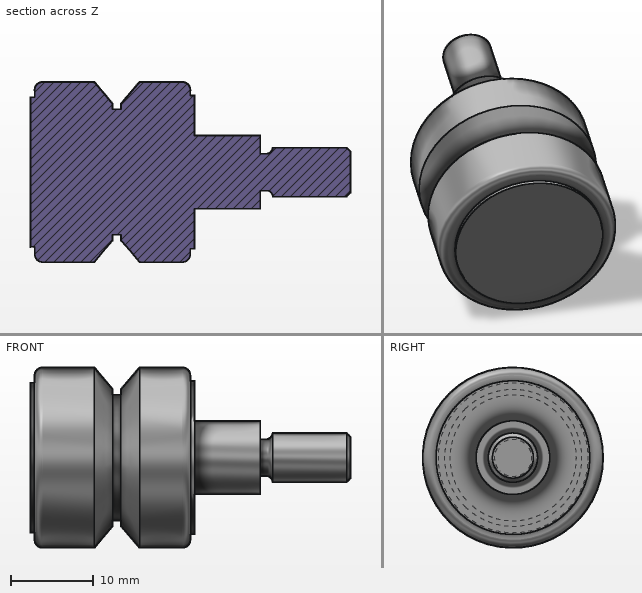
import cadquery as cq
import math

total_length = 39.0
cap_end = 0.5
front_roller_cone_start = 7.8
groove_start = 10.02
groove_end = 11.05
rear_roller_cone_end = 13.3
rear_roller_end = 19.5
collar_end = 20.0
shoulder_end = 28.0
stud_start = 29.5

cap_radius = 9.13
roller_radius = 11.0
groove_lip_radius = 8.35
groove_root_radius = 7.7
collar_radius = 9.35
shoulder_radius = 4.5
neck_radius = 2.25
stud_radius = 3.0

rim_fillet = 1.0
stud_chamfer = 0.5
neck_fillet = stud_radius - neck_radius

rim_flat_radius = roller_radius - rim_fillet
diagonal = math.sqrt(0.5)
rim_mid_radius = rim_flat_radius + rim_fillet * diagonal
front_rim_center = cap_end + rim_fillet
rear_rim_center = rear_roller_end - rim_fillet
fillet_start = stud_start - neck_fillet

half_section = (
    cq.Workplane("XY")
    .moveTo(0, 0)
    .lineTo(0, cap_radius)
    .lineTo(cap_end, cap_radius)
    .lineTo(cap_end, rim_flat_radius)
    .threePointArc(
        (front_rim_center - rim_fillet * diagonal, rim_mid_radius),
        (front_rim_center, roller_radius),
    )
    .lineTo(front_roller_cone_start, roller_radius)
    .lineTo(groove_start, groove_lip_radius)
    .lineTo(groove_start, groove_root_radius)
    .lineTo(groove_end, groove_root_radius)
    .lineTo(groove_end, groove_lip_radius)
    .lineTo(rear_roller_cone_end, roller_radius)
    .lineTo(rear_rim_center, roller_radius)
    .threePointArc(
        (rear_rim_center + rim_fillet * diagonal, rim_mid_radius),
        (rear_roller_end, rim_flat_radius),
    )
    .lineTo(rear_roller_end, collar_radius)
    .lineTo(collar_end, collar_radius)
    .lineTo(collar_end, shoulder_radius)
    .lineTo(shoulder_end, shoulder_radius)
    .lineTo(shoulder_end, neck_radius)
    .lineTo(fillet_start, neck_radius)
    .threePointArc(
        (fillet_start + neck_fillet * diagonal, stud_radius - neck_fillet * diagonal),
        (stud_start, stud_radius),
    )
    .lineTo(total_length - stud_chamfer, stud_radius)
    .lineTo(total_length, stud_radius - stud_chamfer)
    .lineTo(total_length, 0)
    .close()
)

result = half_section.revolve(360, (0, 0, 0), (1, 0, 0))